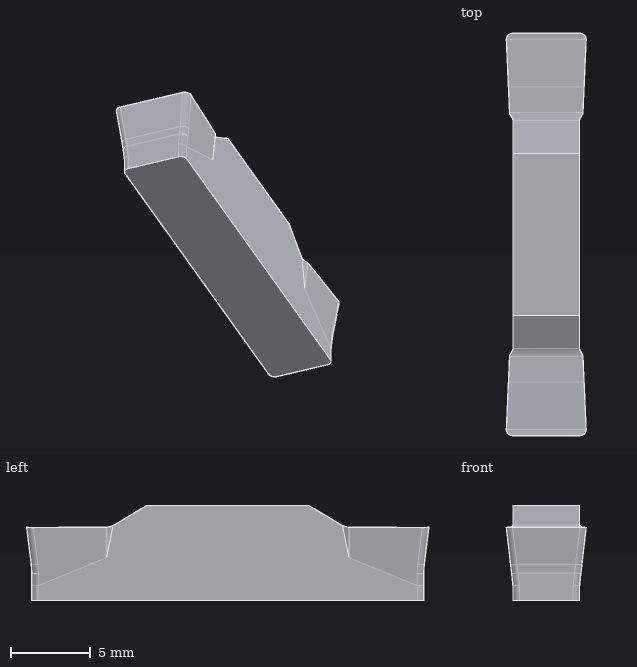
import cadquery as cq
import math


length = 25.18
height = 5.97
body_width = 4.18

crown_end = 5.05
ramp_foot = 7.13
tip_rear = 7.63
floor_start = 9.25
land_width = 0.4

tip_height = 4.6
ramp_foot_height = 4.73
land_drop = 0.03
land_sag = 0.008
clearance_bottom = 1.75
clearance_blend_height = 0.53

clearance_angle = math.radians(7.1)
corner_radius = 0.4
rear_edge_radius = 0.15

flank_rear = 7.58
flank_low_height = 2.7
flank_lean = 0.11
flank_slope = 0.41
rear_lean = 0.2
flank_end = 13.1
flank_top = 5.04

end_y = length / 2
blend_radius = clearance_blend_height / math.sin(clearance_angle)
blend_top = clearance_bottom + clearance_blend_height
blend_top_y = end_y - (tip_height - blend_top) * math.tan(clearance_angle)
foot_y = blend_top_y - blend_radius * (1 - math.cos(clearance_angle))
blend_mid_y = foot_y + blend_radius * (1 - math.cos(clearance_angle / 2))
blend_mid_z = clearance_bottom + blend_radius * math.sin(clearance_angle / 2)

land_middle = (end_y - land_width / 2, tip_height - land_drop / 2 - land_sag)

half_body = body_width / 2


def side_profile(width):
    """Lengthwise outline of the insert, extruded symmetrically across X."""
    half = (
        cq.Workplane("YZ")
        .lineTo(foot_y, 0)
        .lineTo(foot_y, clearance_bottom)
        .threePointArc((blend_mid_y, blend_mid_z), (blend_top_y, blend_top))
        .lineTo(end_y, tip_height)
        .threePointArc(land_middle, (end_y - land_width, tip_height - land_drop))
        .lineTo(floor_start, tip_height)
        .lineTo(tip_rear, tip_height)
        .tangentArcPoint((ramp_foot, ramp_foot_height), relative=False)
        .lineTo(crown_end, height)
        .lineTo(0, height)
        .close()
        .extrude(width / 2, both=True)
    )
    return half.union(half.mirror("XZ")).clean()


def flank_wedge():
    """Wedge added to the +X side of the body at the +Y tip."""
    rise = flank_top - flank_low_height
    run = flank_end - flank_rear
    rear_width = half_body + flank_lean * rise
    end_width = rear_width + flank_lean * flank_slope * run
    low = cq.Vector(half_body, flank_rear, flank_low_height)
    rear = cq.Vector(half_body, flank_rear - rear_lean * rise, flank_top)
    top_end = cq.Vector(half_body, flank_end, flank_top)
    low_end = cq.Vector(half_body, flank_end, flank_low_height - flank_slope * run)
    rear_edge = cq.Vector(rear_width, flank_rear, flank_top)
    end_edge = cq.Vector(end_width, flank_end, flank_top)
    outlines = [
        [low, rear, top_end, low_end],
        [low, rear_edge, end_edge, low_end],
        [low, rear, rear_edge],
        [rear, rear_edge, end_edge, top_end],
        [top_end, end_edge, low_end],
    ]
    faces = [cq.Face.makeFromWires(cq.Wire.makePolygon(points, close=True)) for points in outlines]
    return cq.Workplane(cq.Solid.makeSolid(cq.Shell.makeShell(faces)))


envelope = cq.Workplane().box(body_width, 2 * flank_end, height, centered=(True, True, False))
wedge = flank_wedge()
wedge_pair = wedge.union(wedge.mirror("YZ"))
envelope = envelope.union(wedge_pair).union(wedge_pair.mirror("XZ"))

result = side_profile(2 * body_width).intersect(envelope)


def is_corner_edge(edge):
    """True for the upright edges where a side meets an end face."""
    center = edge.Center()
    box = edge.BoundingBox()
    at_end = abs(center.y) > foot_y - corner_radius
    narrow = box.xlen < corner_radius
    return at_end and narrow and box.zlen > box.ylen


corner_edges = [edge for edge in result.edges().vals() if is_corner_edge(edge)]
result = result.newObject(corner_edges).fillet(corner_radius)


def is_rear_edge(edge):
    """True for the edges where a flank turns into its rear face."""
    center = edge.Center()
    box = edge.BoundingBox()
    beside_body = abs(center.x) > half_body
    at_tip_rear = abs(abs(center.y) - flank_rear) < rear_edge_radius
    return beside_body and at_tip_rear and box.zlen > flank_low_height / 2 and box.ylen < rear_edge_radius


rear_edges = [edge for edge in result.edges().vals() if is_rear_edge(edge)]
result = result.newObject(rear_edges).fillet(rear_edge_radius)